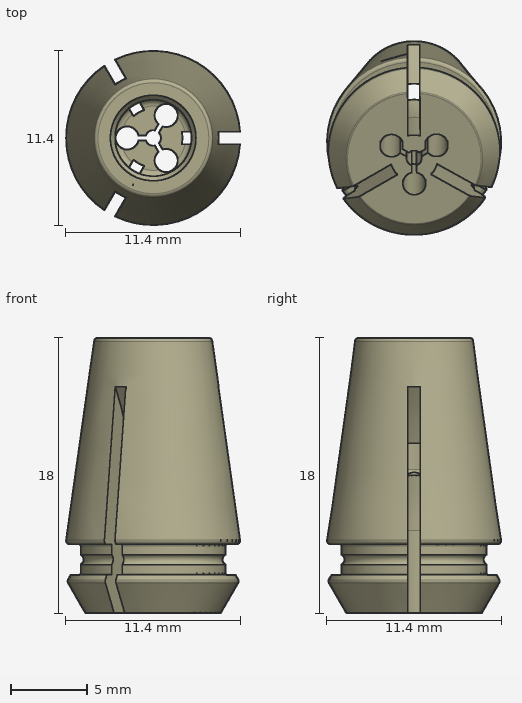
import cadquery as cq
import math

total_height = 18.0
shoulder_height = 4.5
taper_angle = 8.0
taper_max_radius = 5.739
taper_bottom_fillet = 0.25
taper_top_fillet = 0.25

flange_top_height = 2.5
flange_angle = 30.0
flange_bottom_radius = 4.43
flange_top_radius = 5.4
flange_edge_fillet = 0.2
nose_edge_fillet = 0.1

neck_radius = 4.75
neck_fillet = 0.1
neck_groove_half_width = 0.32
neck_groove_depth = 0.19

bore_diameter = 5.0
bore_floor_height = 9.0
bore_mouth_chamfer = 0.3
bore_mouth_chamfer_height = 0.45
bore_floor_fillet = 0.4

slot_count = 3
slot_spacing = 360.0 / slot_count
slot_width = 0.8
slot_inner_radius = 1.55
slot_end_curve_radius = 17.5
slot_end_curve_height = 5.41

center_hole_diameter = 1.0
relief_hole_diameter = 1.5
relief_hole_offset = 1.7
relief_slit_width = 0.3
relief_start_angle = slot_spacing / 2

clearance = 1.0


def circle_edges(body, radius, height):
    """Circular edges of the body with the given radius and height."""
    tolerance = 1e-3

    def matches(edge):
        if edge.geomType() != "CIRCLE":
            return False
        same_radius = abs(edge.radius() - radius) < tolerance
        same_height = abs(edge.Center().z - height) < tolerance
        return same_radius and same_height

    return body.edges().filter(matches)


def make_body():
    """Solid of revolution with its rounded edges."""
    taper_height = total_height - shoulder_height
    taper_top_radius = taper_max_radius - taper_height * math.tan(math.radians(taper_angle))

    flange_slope = math.tan(math.radians(flange_angle))
    cone_radius_sum = flange_bottom_radius + flange_top_radius
    flange_max_radius = (cone_radius_sum + flange_top_height * flange_slope) / 2
    flange_max_height = (flange_max_radius - flange_bottom_radius) / flange_slope

    groove_height = (flange_top_height + shoulder_height) / 2
    profile = (
        cq.Workplane("XZ")
        .moveTo(0, 0)
        .lineTo(flange_bottom_radius, 0)
        .lineTo(flange_max_radius, flange_max_height)
        .lineTo(flange_top_radius, flange_top_height)
        .lineTo(neck_radius, flange_top_height)
        .lineTo(neck_radius, groove_height - neck_groove_half_width)
        .threePointArc(
            (neck_radius - neck_groove_depth, groove_height),
            (neck_radius, groove_height + neck_groove_half_width),
        )
        .lineTo(neck_radius, shoulder_height)
        .lineTo(taper_max_radius, shoulder_height)
        .lineTo(taper_top_radius, total_height)
        .lineTo(0, total_height)
        .close()
    )
    body = profile.revolve(360, (0, 0, 0), (0, 1, 0))

    rounded_edges = [
        (flange_bottom_radius, 0, nose_edge_fillet),
        (flange_max_radius, flange_max_height, flange_edge_fillet),
        (neck_radius, flange_top_height, neck_fillet),
        (neck_radius, shoulder_height, neck_fillet),
        (taper_max_radius, shoulder_height, taper_bottom_fillet),
        (taper_top_radius, total_height, taper_top_fillet),
    ]
    for radius, height, fillet in rounded_edges:
        body = circle_edges(body, radius, height).fillet(fillet)
    return body


def make_bore():
    """Bore with a flared mouth and a flat, filleted floor."""
    bore_radius = bore_diameter / 2
    return (
        cq.Workplane("XZ")
        .moveTo(0, bore_floor_height)
        .lineTo(bore_radius - bore_floor_fillet, bore_floor_height)
        .radiusArc((bore_radius, bore_floor_height + bore_floor_fillet), -bore_floor_fillet)
        .lineTo(bore_radius, total_height - bore_mouth_chamfer_height)
        .lineTo(bore_radius + bore_mouth_chamfer, total_height)
        .lineTo(0, total_height)
        .close()
        .revolve(360, (0, 0, 0), (0, 1, 0))
    )


def make_slot():
    """Slot along +X, open at the bottom, whose upper end is a curved surface of revolution."""
    curve_center_radius = slot_inner_radius + slot_end_curve_radius
    outer_radius = taper_max_radius + clearance

    def end_height(radius):
        offset = curve_center_radius - radius
        return slot_end_curve_height + math.sqrt(slot_end_curve_radius**2 - offset**2)

    middle_radius = (slot_inner_radius + outer_radius) / 2
    swept_ring = (
        cq.Workplane("XZ")
        .moveTo(slot_inner_radius, -clearance)
        .lineTo(slot_inner_radius, slot_end_curve_height)
        .threePointArc(
            (middle_radius, end_height(middle_radius)),
            (outer_radius, end_height(outer_radius)),
        )
        .lineTo(outer_radius, -clearance)
        .close()
        .revolve(360, (0, 0, 0), (0, 1, 0))
    )
    slab = cq.Workplane("XY").box(
        outer_radius + clearance,
        slot_width,
        2 * (total_height + clearance),
        centered=(False, True, True),
    )
    return swept_ring.intersect(slab)


def make_jaw_relief():
    """Hole along +X, joined to the center by a narrow slit, up to the bore floor."""
    slit = (
        cq.Workplane("XY")
        .center(relief_hole_offset / 2, 0)
        .rect(relief_hole_offset, relief_slit_width)
        .extrude(bore_floor_height)
    )
    hole = (
        cq.Workplane("XY")
        .center(relief_hole_offset, 0)
        .circle(relief_hole_diameter / 2)
        .extrude(bore_floor_height + bore_floor_fillet)
    )
    return slit.union(hole)


def around_axis(tool, angle):
    """Copy of a tool turned about the collet axis."""
    return tool.rotate((0, 0, 0), (0, 0, 1), angle)


collet = make_body().cut(make_bore())
center_hole = cq.Workplane("XY").circle(center_hole_diameter / 2).extrude(bore_floor_height)
collet = collet.cut(center_hole)

slot = make_slot()
jaw_relief = make_jaw_relief()
for index in range(slot_count):
    slot_angle = index * slot_spacing
    collet = collet.cut(around_axis(slot, slot_angle))
    collet = collet.cut(around_axis(jaw_relief, slot_angle + relief_start_angle))

result = collet